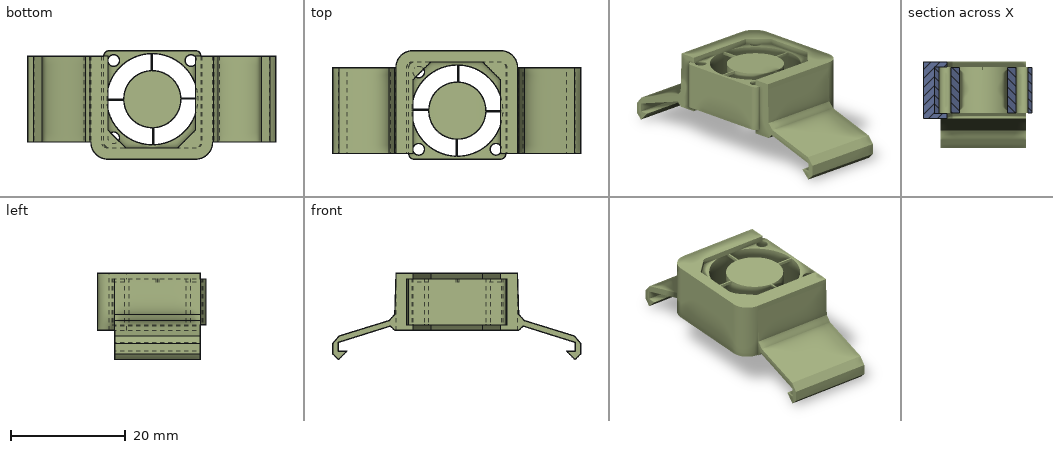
import cadquery as cq


fan_side = 17.0
fan_height = 8.0
fan_corner_radius = 1.0
bore_diameter = 15.9
hub_diameter = 10.0
screw_hole_diameter = 2.0
screw_hole_pitch = 13.5
spoke_count = 4
spoke_width = 0.25
spoke_height = 0.5
fan_overhang = 1.0
fan_sideways_shift = 0.1

lip_thickness = 1.0
holder_height = fan_height + 2 * lip_thickness
cavity_width = 17.5
cavity_depth = fan_side - fan_overhang
cavity_corner_radius = 1.0
side_wall = 1.9
back_wall = 2.0
holder_width = cavity_width + 2 * side_wall
holder_depth = cavity_depth + back_wall
holder_corner_radius = 3.0
window_width = 15.25
window_chamfer = 3.1

arm_length_y = holder_depth - holder_corner_radius
overall_width = 43.31
overall_height = 15.09
wall_draft = 0.2
gusset_top_z = 2.8
gusset_base_inset = 0.05
arm_root_x = 11.8
arm_root_z = 1.75
arm_thickness = 1.0
arm_under_inset = 0.2
shoulder_x = 20.55
shoulder_z = -0.95
shoulder_drop = 1.3
hook_thickness = 1.0
hook_gap = 1.5
barb_length = 1.5


def centred_box(width, depth, height, front_y, bottom_z):
    """Box centred on X = 0 with its front face and underside at the given places."""
    return (
        cq.Workplane("XY", origin=(0, front_y + depth / 2, bottom_z))
        .rect(width, depth)
        .extrude(height)
    )


def make_clip_arm(side):
    """Side wall skin, sloping arm and barbed hook; side is +1 or -1 in X."""
    wall_x = cavity_width / 2
    outer_x = holder_width / 2
    gusset_x = outer_x + wall_draft
    end_x = overall_width / 2
    hook_inner_x = end_x - hook_thickness
    tip_z = holder_height - overall_height
    barb_z = tip_z + barb_length
    profile = [
        (wall_x, 0),
        (wall_x, holder_height),
        (outer_x, holder_height),
        (outer_x, holder_height - lip_thickness),
        (gusset_x, gusset_top_z),
        (arm_root_x, arm_root_z),
        (shoulder_x, shoulder_z),
        (end_x, shoulder_z - shoulder_drop),
        (end_x, tip_z + hook_thickness),
        (hook_inner_x, tip_z),
        (hook_inner_x - barb_length, barb_z),
        (hook_inner_x, barb_z),
        (hook_inner_x, barb_z + hook_gap),
        (arm_root_x - arm_under_inset, arm_root_z - arm_thickness),
        (gusset_x - gusset_base_inset, 0),
    ]
    return (
        cq.Workplane("XZ")
        .polyline([(side * x, z) for x, z in profile])
        .close()
        .extrude(-arm_length_y)
    )


def make_holder():
    housing = (
        centred_box(holder_width, holder_depth, holder_height, 0, 0)
        .edges("|Z and >Y")
        .fillet(holder_corner_radius)
    )
    cavity = (
        centred_box(cavity_width, cavity_depth, fan_height, 0, lip_thickness)
        .edges("|Z and >Y")
        .fillet(cavity_corner_radius)
    )
    window = (
        centred_box(window_width, cavity_depth, holder_height, 0, 0)
        .edges("|Z and >Y")
        .chamfer(window_chamfer)
    )
    holder = housing.cut(cavity).cut(window)
    for side in (-1, 1):
        holder = holder.union(make_clip_arm(side))
    return holder


def make_fan():
    """Square fan frame with a solid hub on four thin pinwheel spokes, built about its own axis."""
    offset = screw_hole_pitch / 2
    screw_hole_centres = [(-offset, -offset), (offset, -offset), (-offset, offset)]
    fan = (
        cq.Workplane("XY")
        .rect(fan_side, fan_side)
        .extrude(fan_height)
        .edges("|Z")
        .fillet(fan_corner_radius)
        .faces(">Z")
        .workplane()
        .pushPoints(screw_hole_centres)
        .hole(screw_hole_diameter)
        .faces(">Z")
        .workplane()
        .hole(bore_diameter)
    )
    fan = fan.union(cq.Workplane("XY").circle(hub_diameter / 2).extrude(fan_height))

    spoke_start = hub_diameter / 4
    spoke_end = (bore_diameter + fan_side) / 4
    for index in range(spoke_count):
        spoke = (
            cq.Workplane("XY", origin=(0, 0, fan_height - spoke_height))
            .moveTo(spoke_start, -spoke_width)
            .lineTo(spoke_end, -spoke_width)
            .lineTo(spoke_end, 0)
            .lineTo(spoke_start, 0)
            .close()
            .extrude(spoke_height)
            .rotate((0, 0, 0), (0, 0, 1), index * 360 / spoke_count)
        )
        fan = fan.union(spoke)

    fan_centre_y = fan_side / 2 - fan_overhang
    return fan.translate((fan_sideways_shift, fan_centre_y, lip_thickness))


holder = make_holder()
fan = make_fan()

result = cq.Compound.makeCompound([holder.solids().val(), fan.solids().val()])